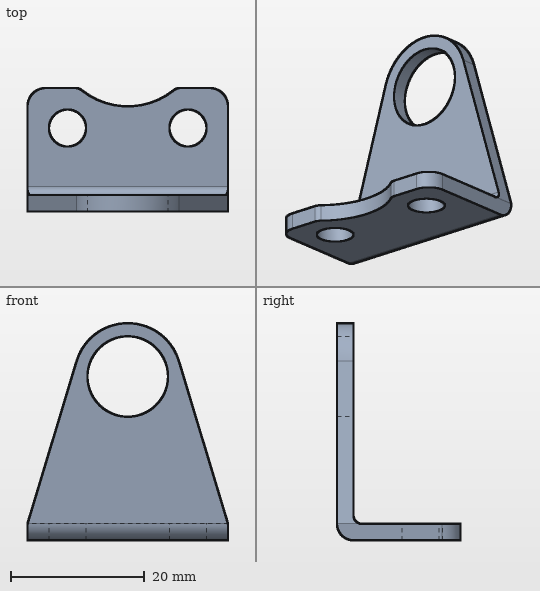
import cadquery as cq
import math

WIDTH = 30.0
DEPTH = 18.5
THICKNESS = 2.5

BEND_OUTER_RADIUS = THICKNESS
BEND_INNER_RADIUS = 1.25

EYE_HEIGHT = 24.5
EYE_RADIUS = 8.0
EYE_HOLE_DIAMETER = 12.0
HEIGHT = EYE_HEIGHT + EYE_RADIUS

MOUNT_HOLE_DIAMETER = 5.5
MOUNT_HOLE_SPACING = 18.0
MOUNT_HOLE_Y = 12.5

CORNER_RADIUS = 2.75
NOTCH_DEPTH = 2.75
NOTCH_RADIUS = 11.0
NOTCH_EDGE_RADIUS = 1.5


def bent_strip():
    """L-shaped section with a rounded bend, extruded over the full width."""
    strip = (
        cq.Workplane("YZ")
        .polyline([
            (0, 0),
            (DEPTH, 0),
            (DEPTH, THICKNESS),
            (THICKNESS, THICKNESS),
            (THICKNESS, HEIGHT),
            (0, HEIGHT),
        ])
        .close()
        .extrude(WIDTH / 2, both=True)
    )
    outer_corner = cq.selectors.NearestToPointSelector((0, 0, 0))
    inner_corner = cq.selectors.NearestToPointSelector((0, THICKNESS, THICKNESS))
    strip = strip.edges("|X").edges(inner_corner).fillet(BEND_INNER_RADIUS)
    return strip.edges("|X").edges(outer_corner).fillet(BEND_OUTER_RADIUS)


def front_outline():
    """Prism of the front outline: straight flanks from the base, tangent to the round eye."""
    half_width = WIDTH / 2
    rise = EYE_HEIGHT - THICKNESS
    flank_reach = math.hypot(half_width, rise)
    tangent_angle = math.acos(EYE_RADIUS / flank_reach) - math.atan2(rise, half_width)
    tangent_x = EYE_RADIUS * math.cos(tangent_angle)
    tangent_z = EYE_HEIGHT + EYE_RADIUS * math.sin(tangent_angle)
    return (
        cq.Workplane("XZ")
        .moveTo(-half_width, 0)
        .lineTo(half_width, 0)
        .lineTo(half_width, THICKNESS)
        .lineTo(tangent_x, tangent_z)
        .threePointArc((0, HEIGHT), (-tangent_x, tangent_z))
        .lineTo(-half_width, THICKNESS)
        .close()
        .extrude(-DEPTH)
    )


def base_outline():
    """Prism of the plan outline: rounded rear corners and a shallow notch with blended ends."""
    half_width = WIDTH / 2
    notch_bottom_y = DEPTH - NOTCH_DEPTH
    notch_center_y = notch_bottom_y + NOTCH_RADIUS
    blend_center_y = DEPTH - NOTCH_EDGE_RADIUS

    center_distance = NOTCH_RADIUS + NOTCH_EDGE_RADIUS
    blend_center_x = math.sqrt(center_distance**2 - (notch_center_y - blend_center_y) ** 2)
    notch_share = NOTCH_RADIUS / center_distance
    notch_end_x = blend_center_x * notch_share
    notch_end_y = notch_center_y + (blend_center_y - notch_center_y) * notch_share

    return (
        cq.Workplane("XY")
        .moveTo(-half_width, 0)
        .lineTo(half_width, 0)
        .lineTo(half_width, DEPTH - CORNER_RADIUS)
        .tangentArcPoint((half_width - CORNER_RADIUS, DEPTH), relative=False)
        .lineTo(blend_center_x, DEPTH)
        .tangentArcPoint((notch_end_x, notch_end_y), relative=False)
        .threePointArc((0, notch_bottom_y), (-notch_end_x, notch_end_y))
        .tangentArcPoint((-blend_center_x, DEPTH), relative=False)
        .lineTo(CORNER_RADIUS - half_width, DEPTH)
        .tangentArcPoint((-half_width, DEPTH - CORNER_RADIUS), relative=False)
        .close()
        .extrude(HEIGHT)
    )


def eye_hole():
    """Cutter for the large hole through the upright."""
    return (
        cq.Workplane("XZ")
        .center(0, EYE_HEIGHT)
        .circle(EYE_HOLE_DIAMETER / 2)
        .extrude(-THICKNESS)
    )


def mount_holes():
    """Cutters for the two holes through the base."""
    half_spacing = MOUNT_HOLE_SPACING / 2
    return (
        cq.Workplane("XY")
        .pushPoints([(-half_spacing, MOUNT_HOLE_Y), (half_spacing, MOUNT_HOLE_Y)])
        .circle(MOUNT_HOLE_DIAMETER / 2)
        .extrude(THICKNESS)
    )


bracket = bent_strip().intersect(front_outline()).intersect(base_outline())
result = bracket.cut(eye_hole()).cut(mount_holes())